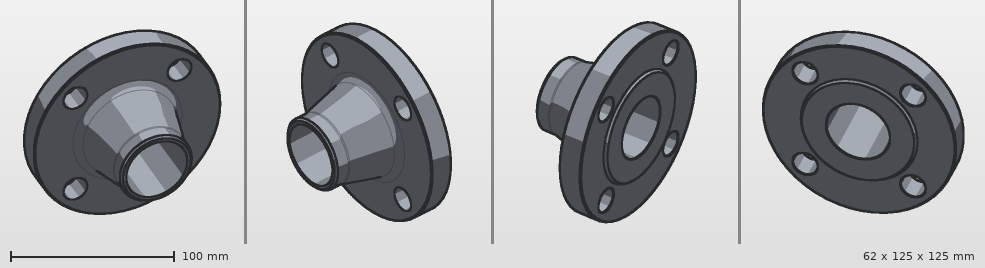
import cadquery as cq
import math

total_length = 62.0
raised_face_height = 2.0
flange_back = 18.0
cone_start = 21.9
cone_end = 51.2
collar_start = 52.2

flange_radius = 62.5
raised_face_radius = 36.2
raised_face_base_radius = 37.8
cone_start_radius = 31.5
collar_radius = 48.2 / 2
bore_diameter = 40.9

bolt_hole_diameter = 15.9
bolt_circle_radius = 49.2
bolt_count = 4
first_bolt_angle = 45.0

flange_chamfer = 0.8
collar_chamfer = 1.5
hole_chamfer = 0.4

taper_meet = (cone_end + collar_start) / 2
taper_angle = math.atan((cone_start_radius - collar_radius) / (taper_meet - cone_start))
cone_end_radius = cone_start_radius - (cone_end - cone_start) * math.tan(taper_angle)

root_fillet = (cone_start - flange_back) / (1 - math.sin(taper_angle))
root_radius = cone_start_radius + root_fillet * math.cos(taper_angle)


def flange_body():
    """Solid of revolution about X: raised face, flange, tapered neck and collar."""
    root_center_x = flange_back + root_fillet
    root_middle_angle = math.radians(180) + (math.radians(90) - taper_angle) / 2
    root_middle = (
        root_center_x + root_fillet * math.cos(root_middle_angle),
        root_radius + root_fillet * math.sin(root_middle_angle),
    )
    return (
        cq.Workplane("XY")
        .lineTo(0, raised_face_radius)
        .lineTo(raised_face_height, raised_face_base_radius)
        .lineTo(raised_face_height, flange_radius - flange_chamfer)
        .lineTo(raised_face_height + flange_chamfer, flange_radius)
        .lineTo(flange_back - flange_chamfer, flange_radius)
        .lineTo(flange_back, flange_radius - flange_chamfer)
        .lineTo(flange_back, root_radius)
        .threePointArc(root_middle, (cone_start, cone_start_radius))
        .lineTo(cone_end, cone_end_radius)
        .tangentArcPoint((collar_start, collar_radius), relative=False)
        .lineTo(total_length - collar_chamfer, collar_radius)
        .lineTo(total_length, collar_radius - collar_chamfer)
        .lineTo(total_length, 0)
        .close()
        .revolve(360, (0, 0, 0), (1, 0, 0))
    )


def chamfered_hole(diameter, start, end):
    """Cutter along X for a hole with a chamfered rim at its start."""
    radius = diameter / 2
    rim_radius = radius + hole_chamfer
    return (
        cq.Workplane("XY")
        .moveTo(start, 0)
        .lineTo(start, rim_radius)
        .lineTo(start + hole_chamfer, radius)
        .lineTo(end, radius)
        .lineTo(end, 0)
        .close()
        .revolve(360, (0, 0, 0), (1, 0, 0))
    )


result = flange_body().cut(chamfered_hole(bore_diameter, 0, total_length))

bolt_hole = chamfered_hole(bolt_hole_diameter, raised_face_height, flange_back)
bolt_hole = bolt_hole.translate((0, bolt_circle_radius, 0))
for index in range(bolt_count):
    angle = first_bolt_angle + index * 360 / bolt_count
    result = result.cut(bolt_hole.rotate((0, 0, 0), (1, 0, 0), angle))